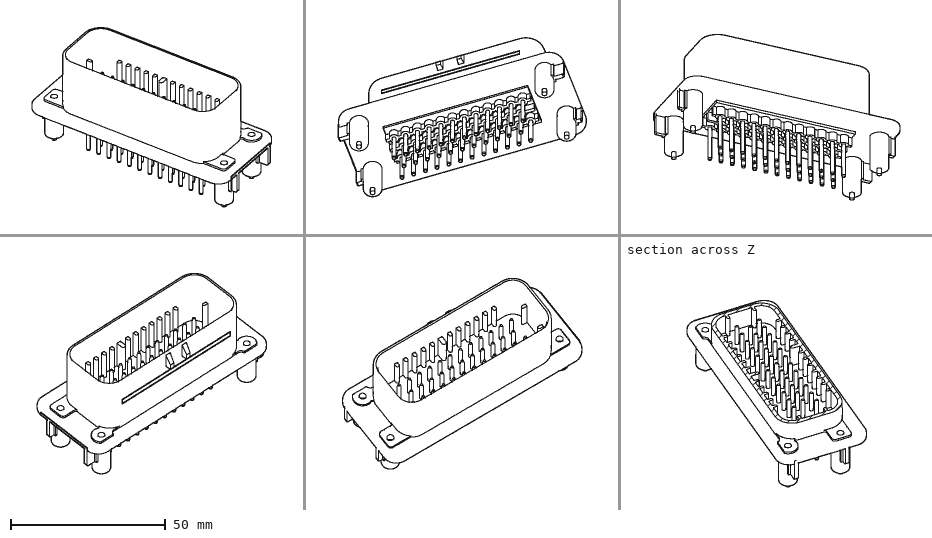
import cadquery as cq
import math


FLANGE_X = 76.7
FLANGE_Y = 32.1
FLANGE_Z = 2.2
FLANGE_RADIUS = 5.0
FLANGE_TOP_ROUND = 0.45
FLANGE_BOTTOM_ROUND = 0.6
LIP = 0.2

SHELL_X = 59.6
SHELL_Y = 23.5
SHELL_RADIUS = 6.2
SHELL_HEIGHT = 20.0
SHELL_TOP = FLANGE_Z + SHELL_HEIGHT
WALL = 1.5
RIM_ROUND = 0.45
RIM_WIDTH = 0.45
LEAD_IN_DEPTH = 2.2
LEAD_IN_WIDTH = WALL - RIM_ROUND - RIM_WIDTH
INNER_X = SHELL_X - 2 * WALL
INNER_Y = SHELL_Y - 2 * WALL
INNER_RADIUS = SHELL_RADIUS - WALL

PAD_THICKNESS = 0.2
PAD_BOTTOM = 12.45
PAD_TOP = 14.3
LATCH_X = 3.5
LATCH_BASE_WIDTH = 2.0
LATCH_TIP_WIDTH = 1.45
LATCH_TIP_Y = 13.8
LATCH_BOTTOM = 16.8
LATCH_SHOULDER = 18.7
LATCH_TOP = SHELL_TOP - RIM_ROUND

RIB_TOP = 12.3
RIB_COUNT = 12
RIB_PITCH = 3.45
RIB_WIDTH = 1.15
RIB_TIP_Y = 8.7
KEY_WIDTH = 1.5
KEY_TIP_Y = 7.2
REAR_KEY = 5
FRONT_KEY = 7
SIDE_RIB_Y = 4.7
SIDE_RIB_TIP_X = 26.45
SIDE_RIB_WIDTH = 1.0

PIN_PITCH = 4.0
PIN_ROWS = ((PIN_PITCH, 12), (0, 11), (-PIN_PITCH, 12))
PIN_DIAMETER = 1.3
PIN_TOP = 10.0
PIN_BOTTOM = -15.8
PIN_POINT_INSET = 0.3
PIN_POINT_LENGTH = 1.15
PIN_TAIL_INSET = 0.15
PIN_TAIL_LENGTH = 0.45

BLOCK_X = 49.4
BLOCK_Y = 14.2
BLOCK_DEPTH = 0.9
WEB_BOTTOM = -3.9
WEB_WIDTH = 1.0
BOSS_DIAMETER = 3.1

REAR_POST = (31.7, 10.8)
FRONT_POST = (33.15, -7.3)
TAB_HEIGHT = 0.7
POST_DIAMETER = 6.15
POST_BOTTOM = -12.0
POST_ROUND = 0.45
TIP_DIAMETER = 1.5
TIP_BOTTOM = -14.1
HOLE_DIAMETER = 2.2
HOLE_BOTTOM = 0.0
REAR_TAB_RADIUS = 3.3
REAR_TAB_EDGE_Y = 13.1
REAR_TAB_EDGE_END_X = 28.6
REAR_TAB_BACK_BLEND = (28.15, 12.15)
REAR_TAB_BACK_END = (27.3, 11.7)
REAR_TAB_SIDE_BLEND = (30.1, 7.7)
REAR_TAB_SIDE_END = (29.5, 7.15)
REAR_TAB_BLEND_OFFSET = 0.8
FRONT_TAB_OUTER_X = 35.5
FRONT_TAB_TOP_Y = -3.6
FRONT_TAB_BOTTOM_Y = -10.5
FRONT_TAB_RADIUS = 1.2
FRONT_TAB_FLARE = 0.7
TAB_INNER_X = SHELL_X / 2 - SHELL_RADIUS
FIN_BOTTOM = -6.4
FIN_WIDTH = 1.4
FIN_ROOT_WIDTH = 2.8
FIN_ROOT_REACH = 3.5
FIN_CHAMFER = 0.4


def box(x0, x1, y0, y1, z0, z1):
    """Block between two opposite corners."""
    return cq.Workplane("XY").box(x1 - x0, y1 - y0, z1 - z0, centered=False).translate((x0, y0, z0))


def rod(x, y, z0, z1, diameter):
    """Upright cylinder."""
    return cq.Workplane("XY", origin=(x, y, z0)).circle(diameter / 2).extrude(z1 - z0)


def rounded_plate(x, y, z0, z1, radius):
    """Centred block with rounded upright edges."""
    return cq.Workplane("XY", origin=(0, 0, z0)).rect(x, y).extrude(z1 - z0).edges("|Z").fillet(radius)


def both_sides(body):
    """Body together with its mirror image across X = 0."""
    return body.union(body.mirror("YZ"))


def fuse_all(body, parts):
    """Join many parts to the body in one step."""
    return cq.Workplane(body.val().fuse(*[part.val() for part in parts])).clean()


def row_positions(count, pitch):
    """Evenly spaced positions centred on zero."""
    return [(i - (count - 1) / 2) * pitch for i in range(count)]


def make_flange():
    """Rounded plate with a flat lip along its +X edge."""
    plate = rounded_plate(FLANGE_X, FLANGE_Y, 0, FLANGE_Z, FLANGE_RADIUS)
    plate = plate.faces(">Z").edges().fillet(FLANGE_TOP_ROUND)
    plate = plate.faces("<Z").edges().fillet(FLANGE_BOTTOM_ROUND)
    half_flat = FLANGE_Y / 2 - FLANGE_RADIUS
    lip = box(FLANGE_X / 2 - FLANGE_BOTTOM_ROUND, FLANGE_X / 2 + LIP, -half_flat, half_flat,
              FLANGE_BOTTOM_ROUND, FLANGE_Z - FLANGE_TOP_ROUND)
    return plate.union(lip)


def make_shell():
    """Solid outer form of the shell."""
    shell = rounded_plate(SHELL_X, SHELL_Y, 0, SHELL_TOP, SHELL_RADIUS)
    return shell.faces(">Z").edges().fillet(RIM_ROUND)


def make_cavity():
    """Inside of the shell, flaring out towards the rim."""
    cavity = rounded_plate(INNER_X, INNER_Y, FLANGE_Z, SHELL_TOP, INNER_RADIUS)
    lead_in_angle = math.degrees(math.atan2(LEAD_IN_WIDTH, LEAD_IN_DEPTH))
    mouth = (cq.Workplane("XY", origin=(0, 0, SHELL_TOP))
             .sketch().rect(INNER_X + 2 * LEAD_IN_WIDTH, INNER_Y + 2 * LEAD_IN_WIDTH)
             .vertices().fillet(INNER_RADIUS + LEAD_IN_WIDTH).finalize()
             .extrude(-LEAD_IN_DEPTH, taper=lead_in_angle))
    return cavity.union(mouth)


def make_rear_pad():
    """Shallow raised strip across the flat of the rear wall."""
    half_flat = SHELL_X / 2 - SHELL_RADIUS
    return box(-half_flat, half_flat, SHELL_Y / 2 - WALL / 2, SHELL_Y / 2 + PAD_THICKNESS,
               PAD_BOTTOM, PAD_TOP)


def make_latch(x):
    """Wedge hook that narrows towards its tip."""
    wall_y = SHELL_Y / 2
    root_y = wall_y - RIM_ROUND
    side = (cq.Workplane("YZ")
            .polyline([(root_y, LATCH_BOTTOM), (LATCH_TIP_Y, LATCH_BOTTOM), (LATCH_TIP_Y, LATCH_SHOULDER),
                       (wall_y, LATCH_TOP), (root_y, LATCH_TOP)])
            .close().extrude(LATCH_BASE_WIDTH / 2, both=True))
    plan = (cq.Workplane("XY", origin=(0, 0, LATCH_BOTTOM))
            .polyline([(-LATCH_BASE_WIDTH / 2, root_y), (LATCH_BASE_WIDTH / 2, root_y),
                       (LATCH_TIP_WIDTH / 2, LATCH_TIP_Y), (-LATCH_TIP_WIDTH / 2, LATCH_TIP_Y)])
            .close().extrude(LATCH_TOP - LATCH_BOTTOM))
    return side.intersect(plan).translate((x, 0, 0))


def make_wall_rib(x, tip_y, width):
    """Rib on the rear inner wall with a fully rounded nose."""
    nose_y = tip_y + width / 2
    rib = box(x - width / 2, x + width / 2, nose_y, INNER_Y / 2 + WALL / 2, FLANGE_Z, RIB_TOP)
    return rib.union(rod(x, nose_y, FLANGE_Z, RIB_TOP, width))


def add_inner_ribs(body):
    """Twelve ribs on each long wall, one of them longer, and two on each end wall."""
    ribs = []
    for column, x in enumerate(row_positions(RIB_COUNT, RIB_PITCH)):
        for key, is_front in ((REAR_KEY, False), (FRONT_KEY, True)):
            is_key = column == key
            rib = make_wall_rib(x, KEY_TIP_Y if is_key else RIB_TIP_Y, KEY_WIDTH if is_key else RIB_WIDTH)
            ribs.append(rib.mirror("XZ") if is_front else rib)
    for y in (SIDE_RIB_Y, -SIDE_RIB_Y):
        nose_x = SIDE_RIB_TIP_X + SIDE_RIB_WIDTH / 2
        rib = box(nose_x, INNER_X / 2 + WALL / 2, y - SIDE_RIB_WIDTH / 2, y + SIDE_RIB_WIDTH / 2,
                  FLANGE_Z, RIB_TOP)
        rib = rib.union(rod(nose_x, y, FLANGE_Z, RIB_TOP, SIDE_RIB_WIDTH))
        ribs += [rib, rib.mirror("YZ")]
    return fuse_all(body, ribs)


def make_pin(x, y):
    """Contact pin tapered at both ends, further along the pin than across it."""
    pin = rod(x, y, PIN_BOTTOM, PIN_TOP, PIN_DIAMETER)
    pin = pin.faces(">Z").chamfer(PIN_POINT_LENGTH, PIN_POINT_INSET)
    return pin.faces("<Z").chamfer(PIN_TAIL_LENGTH, PIN_TAIL_INSET)


def add_pins(body):
    """Pin block with one web per row, a boss round each pin, and the pins."""
    parts = [box(-BLOCK_X / 2, BLOCK_X / 2, -BLOCK_Y / 2, BLOCK_Y / 2, -BLOCK_DEPTH, FLANGE_Z / 2)]
    for y, count in PIN_ROWS:
        parts.append(box(-BLOCK_X / 2, BLOCK_X / 2, y - WEB_WIDTH / 2, y + WEB_WIDTH / 2, WEB_BOTTOM, 0))
        for x in row_positions(count, PIN_PITCH):
            parts.append(rod(x, y, WEB_BOTTOM, 0, BOSS_DIAMETER))
            parts.append(make_pin(x, y))
    return fuse_all(body, parts)


def make_rear_tab():
    """Tab round the rear post hole, cut flat at the back and blended into the shell."""
    post_x, post_y = REAR_POST
    flat_dx = math.sqrt(REAR_TAB_RADIUS ** 2 - (REAR_TAB_EDGE_Y - post_y) ** 2)
    blend_dy = math.sqrt(REAR_TAB_RADIUS ** 2 - REAR_TAB_BLEND_OFFSET ** 2)
    return (cq.Workplane("XY", origin=(0, 0, FLANGE_Z))
            .moveTo(TAB_INNER_X, REAR_TAB_SIDE_END[1])
            .lineTo(*REAR_TAB_SIDE_END)
            .threePointArc(REAR_TAB_SIDE_BLEND, (post_x - REAR_TAB_BLEND_OFFSET, post_y - blend_dy))
            .threePointArc((post_x + REAR_TAB_RADIUS, post_y), (post_x + flat_dx, REAR_TAB_EDGE_Y))
            .lineTo(REAR_TAB_EDGE_END_X, REAR_TAB_EDGE_Y)
            .threePointArc(REAR_TAB_BACK_BLEND, REAR_TAB_BACK_END)
            .lineTo(TAB_INNER_X, REAR_TAB_BACK_END[1])
            .close().extrude(TAB_HEIGHT))


def make_front_tab():
    """Rectangular tab round the front post hole, flaring where it meets the shell."""
    tab_top = FLANGE_Z + TAB_HEIGHT
    flare_x = SHELL_X / 2 + FRONT_TAB_FLARE
    flare_y = FRONT_TAB_TOP_Y + FRONT_TAB_FLARE
    tab = box(TAB_INNER_X, FRONT_TAB_OUTER_X, FRONT_TAB_BOTTOM_Y, FRONT_TAB_TOP_Y, FLANGE_Z, tab_top)
    tab = tab.edges("|Z and >X").fillet(FRONT_TAB_RADIUS)
    corner = box(TAB_INNER_X, flare_x, FRONT_TAB_TOP_Y - FRONT_TAB_FLARE, flare_y, FLANGE_Z, tab_top)
    corner = corner.cut(rod(flare_x, flare_y, FLANGE_Z, tab_top, 2 * FRONT_TAB_FLARE))
    return tab.union(corner)


def make_post(x, y):
    """Mounting post with a thin locating tip."""
    post = rod(x, y, POST_BOTTOM, FLANGE_Z / 2, POST_DIAMETER).faces("<Z").edges().fillet(POST_ROUND)
    return post.union(rod(x, y, TIP_BOTTOM, 0, TIP_DIAMETER))


def make_fin(post, outer_x):
    """Stepped fin from a post out to the flange edge."""
    x, y = post
    top = FLANGE_Z - FLANGE_TOP_ROUND
    fin = box(x, outer_x, y - FIN_WIDTH / 2, y + FIN_WIDTH / 2, FIN_BOTTOM, top)
    fin = fin.edges("<Z and >X").chamfer(FIN_CHAMFER)
    root = box(x, x + FIN_ROOT_REACH, y - FIN_ROOT_WIDTH / 2, y + FIN_ROOT_WIDTH / 2, FIN_BOTTOM, FLANGE_Z / 2)
    return fin.union(root)


def add_mountings(body):
    """Tabs, posts, fins and blind tab holes at the four corners."""
    body = body.union(both_sides(make_rear_tab())).union(both_sides(make_front_tab()))
    for post in (REAR_POST, FRONT_POST):
        body = body.union(both_sides(make_post(*post)))
        body = body.union(make_fin(post, FLANGE_X / 2 + LIP))
        body = body.union(make_fin(post, FLANGE_X / 2).mirror("YZ"))
        body = body.cut(both_sides(rod(*post, HOLE_BOTTOM, FLANGE_Z + TAB_HEIGHT, HOLE_DIAMETER)))
    return body


result = make_flange().union(make_shell()).union(make_rear_pad())
for latch_x in (-LATCH_X, LATCH_X):
    result = result.union(make_latch(latch_x))
result = add_mountings(result)
result = result.cut(make_cavity())
result = add_inner_ribs(result)
result = add_pins(result)